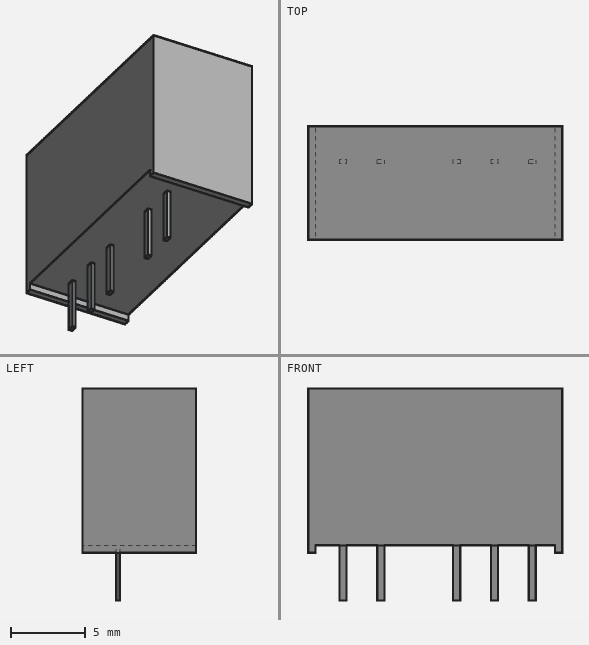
import cadquery as cq

case_length = 17.0
case_width = 7.62
case_height = 11.0
foot_size = 0.5

overall_height = 14.2
pin_width = 0.5
pin_thickness = 0.25
pin_pitch = 2.53
first_pin_x = -6.17
pin_row_y = 1.43
pin_positions = (0, 1, 3, 4, 5)
pin_bottom = case_height - overall_height


def make_case():
    """Block with a full-width channel below, leaving a foot along each end."""
    block = cq.Workplane("XY").box(case_length, case_width, case_height, centered=(True, True, False))
    channel = cq.Workplane("XY").box(
        case_length - 2 * foot_size, case_width, foot_size, centered=(True, True, False)
    )
    return block.cut(channel)


def make_pin(position):
    """Straight pin from the underside of the case down to the pin tips."""
    x = first_pin_x + position * pin_pitch
    return (
        cq.Workplane("XY", origin=(x, pin_row_y, pin_bottom))
        .rect(pin_width, pin_thickness)
        .extrude(foot_size - pin_bottom)
    )


result = make_case()
for pin_position in pin_positions:
    result = result.union(make_pin(pin_position))